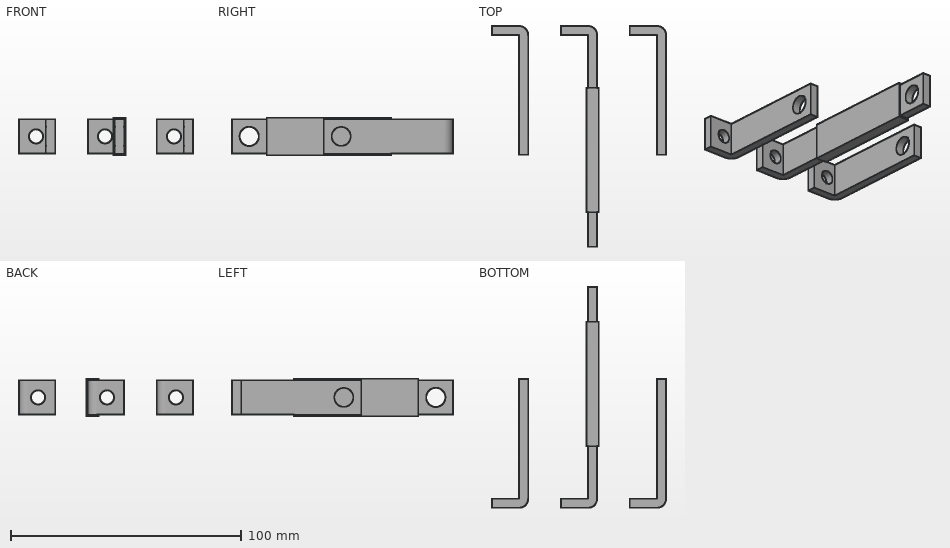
import cadquery as cq

bar_thickness = 4.0
bar_height = 15.0
bend_radius = 4.0
foot_length = 15.8
foot_hole_diameter = 6.0
foot_hole_offset = 7.5
tip_hole_diameter = 8.3
tip_hole_offset = 7.5

outer_leg_length = 56.1
middle_leg_length = 96.0
connector_pitch = 30.0

sleeve_wall = 0.72
sleeve_start = 26.9
sleeve_length = 54.0


def bent_bar(leg_length):
    """L-shaped bar: foot along X with its back face on y = 0, leg running toward -Y."""
    profile = (
        cq.Workplane("XY")
        .moveTo(0, 0)
        .lineTo(foot_length - bend_radius, 0)
        .radiusArc((foot_length, -bend_radius), bend_radius)
        .lineTo(foot_length, -leg_length)
        .lineTo(foot_length - bar_thickness, -leg_length)
        .lineTo(foot_length - bar_thickness, -bar_thickness)
        .lineTo(0, -bar_thickness)
        .close()
    )
    bar = profile.extrude(bar_height / 2, both=True)

    foot_hole = (
        cq.Workplane("XZ")
        .center(foot_hole_offset, 0)
        .circle(foot_hole_diameter / 2)
        .extrude(bar_thickness)
    )
    tip_hole = (
        cq.Workplane("YZ", origin=(foot_length - bar_thickness, 0, 0))
        .center(tip_hole_offset - leg_length, 0)
        .circle(tip_hole_diameter / 2)
        .extrude(bar_thickness)
    )
    return bar.cut(foot_hole).cut(tip_hole)


def sleeved_bar():
    """Long bent bar thickened all round by a sleeve over the middle of its leg."""
    sleeve = cq.Workplane("XY").box(
        bar_thickness + 2 * sleeve_wall,
        sleeve_length,
        bar_height + 2 * sleeve_wall,
    ).translate((foot_length - bar_thickness / 2, -sleeve_start - sleeve_length / 2, 0))
    return bent_bar(middle_leg_length).union(sleeve)


middle_connector = sleeved_bar()
outer_connectors = [
    bent_bar(outer_leg_length).translate((side * connector_pitch, 0, 0)).val()
    for side in (-1, 1)
]

result = cq.Compound.makeCompound([middle_connector.val(), *outer_connectors])